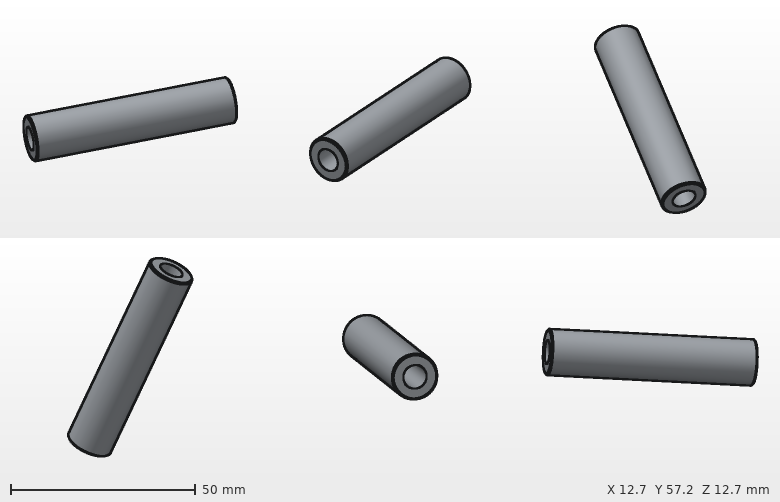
import cadquery as cq

length = 57.15
outer_diameter = 12.7
bore_diameter = 6.5
edge_chamfer = 0.4

end_plane = cq.Workplane("XZ", origin=(0, length / 2, 0))

rod = end_plane.circle(outer_diameter / 2).extrude(length)
chamfered_rod = rod.faces("<Y or >Y").edges().chamfer(edge_chamfer)

bore = end_plane.circle(bore_diameter / 2).extrude(length)

result = chamfered_rod.cut(bore)